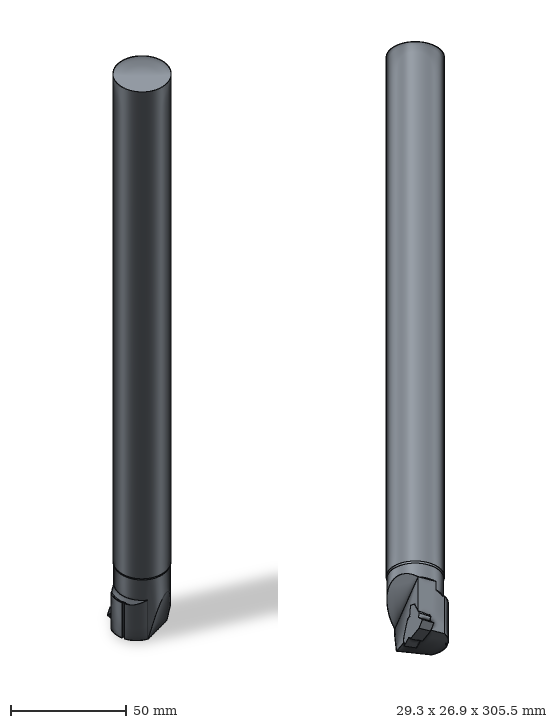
import cadquery as cq
import math

TOTAL_LENGTH = 305.5
SHANK_DIAMETER = 25.5
NECK_DIAMETER = 24.7
NECK_TOP = 34.8
NECK_CONE_HEIGHT = 1.0
HEAD_BOTTOM = 1.8

PAD_RADIUS = 11.5
PAD_CENTER_X = -1.2
PAD_FRONT_Y = -14.2
PAD_TOP = 21.5
PAD_SHOULDER_RADIUS = 13.7
PAD_SHOULDER_RISE = 2.0
GROOVE_CENTER_X = -1.0
GROOVE_WIDTH = 1.2
GROOVE_DEPTH = 1.0

HEAD_TURN = 15.0
SIDE_FLAT_X = -11.5
SIDE_FLAT_TOP = 27.8
CHIP_FACE_Y = 4.3
RUNOUT_HEIGHT = 17.5
RUNOUT_X_SLOPE = -0.58
RUNOUT_Y_SLOPE = 0.84

TAPER_TOP = 23.2
TAPER_BOTTOM_X = 8.5

INSERT_THICKNESS = 5.8
INSERT_BACK_SCALE = 0.94
TOOTH_COUNT = 3
TIP_RADIUS = 10.7
TIP_ANGLE = 200.5
CREST_RADIUS = 7.0
CREST_ANGLE = 167.0
LEADING_ROOT_RADIUS = 6.0
LEADING_ROOT_ANGLE = 183.7
TRAILING_ROOT_RADIUS = 9.2
TRAILING_ROOT_ANGLE = 223.4
INSERT_TIP_X = -16.0

CUT_SIZE = 30.5

shank_radius = SHANK_DIAMETER / 2
neck_radius = NECK_DIAMETER / 2
tooth_pitch = 360.0 / TOOTH_COUNT
insert_center_x = INSERT_TIP_X - TIP_RADIUS * math.cos(math.radians(TIP_ANGLE))
insert_center_z = -TIP_RADIUS * math.sin(math.radians(TIP_ANGLE + tooth_pitch))


def turn_to_head(body):
    return body.rotate((0, 0, 0), (0, 0, 1), HEAD_TURN)


def make_bar():
    """Shank and neck as one revolved profile."""
    profile = [
        (0, HEAD_BOTTOM),
        (neck_radius, HEAD_BOTTOM),
        (neck_radius, NECK_TOP),
        (shank_radius, NECK_TOP + NECK_CONE_HEIGHT),
        (shank_radius, TOTAL_LENGTH),
        (0, TOTAL_LENGTH),
    ]
    return cq.Workplane("XZ").polyline(profile).close().revolve(360, (0, 0), (0, 1))


def make_pad():
    """Offset cylinder along the front of the head, with a narrow vertical groove."""
    pad = (
        cq.Workplane("XY", origin=(PAD_CENTER_X, PAD_FRONT_Y + PAD_RADIUS, HEAD_BOTTOM))
        .circle(PAD_RADIUS)
        .extrude(PAD_TOP - HEAD_BOTTOM)
    )
    groove = cq.Workplane("XY").box(
        GROOVE_WIDTH, CUT_SIZE, PAD_TOP, centered=(True, False, False)
    ).translate((GROOVE_CENTER_X, PAD_FRONT_Y + GROOVE_DEPTH - CUT_SIZE, 0))
    return pad.cut(groove)


def make_pad_shoulder():
    """Cone sloping from the neck down to the pad top, kept within the pad outline."""
    cone = cq.Workplane("XY").add(
        cq.Solid.makeCone(
            PAD_SHOULDER_RADIUS, neck_radius, PAD_SHOULDER_RISE, pnt=cq.Vector(0, 0, PAD_TOP)
        )
    )
    outline = (
        cq.Workplane("XY", origin=(PAD_CENTER_X, PAD_FRONT_Y + PAD_RADIUS, PAD_TOP))
        .circle(PAD_RADIUS)
        .extrude(PAD_SHOULDER_RISE)
    )
    return cone.intersect(outline)


def make_side_flat_cut():
    """Space in front of the chip face and outside the side flat."""
    return turn_to_head(
        cq.Workplane("XY")
        .box(CUT_SIZE, 2 * CUT_SIZE, SIDE_FLAT_TOP, centered=(False, True, False))
        .translate((SIDE_FLAT_X - CUT_SIZE, 0, 0))
    )


def make_chip_cut():
    """Space behind the chip face and below the sloped runout plane."""
    space = turn_to_head(
        cq.Workplane("XY")
        .box(2 * CUT_SIZE, CUT_SIZE, 2 * CUT_SIZE, centered=(True, False, False))
        .translate((0, CHIP_FACE_Y, 0))
    )
    runout = cq.Plane(
        origin=(0, 0, RUNOUT_HEIGHT),
        xDir=(1, 0, RUNOUT_X_SLOPE),
        normal=(-RUNOUT_X_SLOPE, -RUNOUT_Y_SLOPE, 1),
    )
    below_runout = turn_to_head(
        cq.Workplane(runout).rect(4 * CUT_SIZE, 4 * CUT_SIZE).extrude(-2 * CUT_SIZE)
    )
    return space.intersect(below_runout)


def make_taper_cut():
    """Wedge that narrows the +X side toward the bottom."""
    return (
        cq.Workplane("XZ")
        .moveTo(TAPER_BOTTOM_X, HEAD_BOTTOM)
        .lineTo(neck_radius, TAPER_TOP)
        .lineTo(CUT_SIZE, TAPER_TOP)
        .lineTo(CUT_SIZE, HEAD_BOTTOM)
        .close()
        .extrude(CUT_SIZE, both=True)
    )


def make_insert_outline(scale):
    """Corner points of the insert, scaled about its center."""
    corner = [
        (CREST_RADIUS, CREST_ANGLE),
        (LEADING_ROOT_RADIUS, LEADING_ROOT_ANGLE),
        (TIP_RADIUS, TIP_ANGLE),
        (TRAILING_ROOT_RADIUS, TRAILING_ROOT_ANGLE),
    ]
    outline = []
    for tooth in range(TOOTH_COUNT):
        for radius, angle in corner:
            turned = math.radians(angle + tooth * tooth_pitch)
            outline.append((
                insert_center_x + scale * radius * math.cos(turned),
                insert_center_z + scale * radius * math.sin(turned),
            ))
    return outline


def make_insert():
    """Cutting face flush with the chip face, narrowing toward the back for clearance."""
    return turn_to_head(
        cq.Workplane("XZ", origin=(0, CHIP_FACE_Y, 0))
        .polyline(make_insert_outline(1))
        .close()
        .workplane(offset=INSERT_THICKNESS)
        .polyline(make_insert_outline(INSERT_BACK_SCALE))
        .close()
        .loft(ruled=True)
    )


insert = make_insert()
holder = (
    make_bar()
    .union(make_pad())
    .union(make_pad_shoulder())
    .cut(make_side_flat_cut())
    .cut(make_chip_cut())
    .cut(make_taper_cut())
    .cut(insert)
)

result = cq.Compound.makeCompound([*holder.solids().vals(), insert.val()])